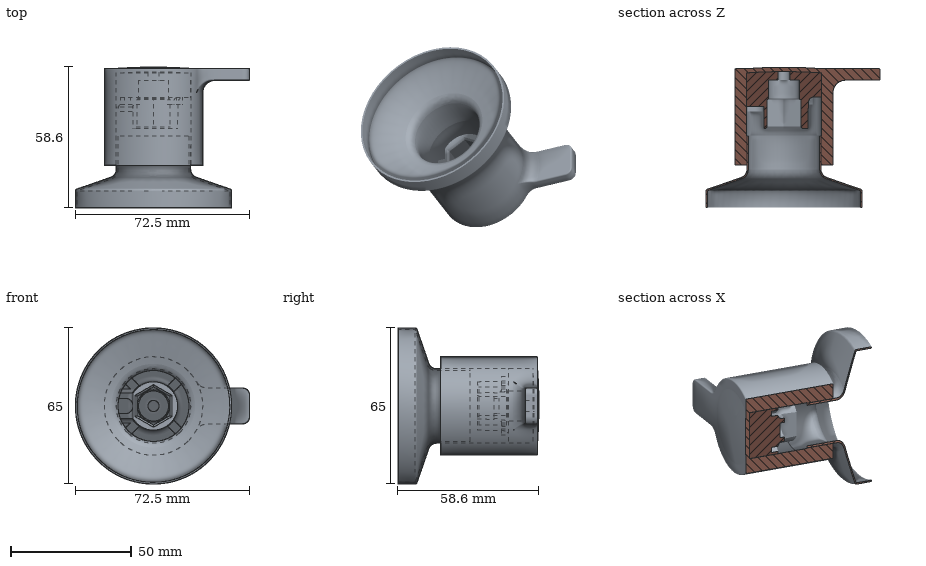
import cadquery as cq
import math


rim_radius = 32.5
neck_radius = 15.5
sheet = 0.75
cone_angle = 19.1
cone_start = 7.67
rim_round = 1.0
neck_round = 3.2
neck_end = 30.0

knob_radius = 20.5
knob_start = 17.7
knob_end = 58.0
crown_height = 0.6
crown_edge = 16.0
crown_wall = 2.0
edge_round = 0.5
lever_reach = 40.0
lever_width = 15.0
lever_thickness = 5.0
lever_corner = 3.0
lever_blend = 5.0

floor_level = 46.0
hub_front = 33.0
rib_front = 43.0
block_front = 40.0
hub_radius = 10.05
hub_root_radius = 10.3
hub_blend = 2.0
rib_width = 3.6
rib_angles = (45, 135, 225, 315)
block_width = 10.6
block_blend = 1.75
hub_flat = 8.5
block_overlap = 2.0
slot_width = 6.4
slot_depth = 2.0
hex_flats = 13.8
hex_chamfer = 0.75
hex_depth = 12.0
bore_radius = 6.25
bore_chamfer = 0.5
bore_depth = 8.0
through_radius = 2.3

near = 0.01

crown_radius = (crown_edge**2 + crown_height**2) / (2 * crown_height)
lever_underside = knob_end - lever_thickness
crown_top = knob_end + crown_height
crown_center = crown_top - crown_radius


def across_axis(y):
    """Workplane square to the Y axis at y, with local x = X, local y = Z, extruding towards -Y."""
    return cq.Workplane("XZ", origin=(0, y, 0))


def disc(radius, start, end):
    return across_axis(end).circle(radius).extrude(end - start)


def turned(profile):
    """Turn a profile, whose plane holds radius and y, about the Y axis."""
    return profile.close().revolve(360, (0, 0, 0), (0, 1, 0))


def profile_plane():
    """Plane with local x = Z (the radius) and local y = Y."""
    return cq.Workplane(cq.Plane(origin=(0, 0, 0), xDir=(0, 0, 1), normal=(-1, 0, 0)))


def round_circle(body, y, radius):
    """Fillet the circular edge that is centred on the Y axis at y."""
    circle = cq.selectors.BoxSelector((-near, y - near, -near), (near, y + near, near))
    return body.edges(circle).fillet(radius)


def trumpet(inset):
    """Solid trumpet whose surface lies the given distance inside the rosette's outer surface."""
    slope = math.tan(math.radians(cone_angle))
    drop = inset / math.cos(math.radians(cone_angle))
    rim = rim_radius - inset
    neck = neck_radius - inset
    rim_corner = cone_start + slope * inset - drop
    neck_corner = rim_corner + slope * (rim - neck)
    body = turned(
        profile_plane()
        .lineTo(rim, 0)
        .lineTo(rim, rim_corner)
        .lineTo(neck, neck_corner)
        .lineTo(neck, neck_end)
        .lineTo(0, neck_end)
    )
    body = round_circle(body, neck_corner, neck_round + inset)
    return round_circle(body, rim_corner, rim_round - inset)


def make_rosette():
    """Sheet of even thickness between two trumpets."""
    return trumpet(0).cut(trumpet(sheet))


def below_crown(radius, start, depth):
    """Cylinder from start to a sphere the given depth inside the crown."""
    sphere = crown_radius - depth
    edge = crown_center + math.sqrt(sphere**2 - radius**2)
    middle = crown_center + math.sqrt(sphere**2 - (radius / 2) ** 2)
    return turned(
        profile_plane()
        .moveTo(0, start)
        .lineTo(radius, start)
        .lineTo(radius, edge)
        .threePointArc((radius / 2, middle), (0, crown_center + sphere))
    )


def make_lever():
    """Lever with concave blends on its sides and underside where it meets the knob."""
    half_width = lever_width / 2
    blend_z = half_width + lever_blend
    blend_x = math.sqrt((knob_radius + lever_blend) ** 2 - blend_z**2)
    touch = knob_radius / (knob_radius + lever_blend)
    touch_x = blend_x * touch
    touch_z = blend_z * touch
    to_knob = math.atan2(blend_z, blend_x) + math.pi
    to_side = 1.5 * math.pi
    halfway = (to_knob + to_side) / 2
    mid_x = blend_x + lever_blend * math.cos(halfway)
    mid_z = blend_z + lever_blend * math.sin(halfway)
    plan = (
        across_axis(knob_end)
        .lineTo(touch_x, touch_z)
        .threePointArc((mid_x, mid_z), (blend_x, half_width))
        .lineTo(lever_reach, half_width)
        .lineTo(lever_reach, -half_width)
        .lineTo(blend_x, -half_width)
        .threePointArc((mid_x, -mid_z), (touch_x, -touch_z))
        .close()
        .extrude(lever_thickness + lever_blend)
    )
    plan = plan.edges("|Y and >X").fillet(lever_corner)
    space = turned(
        profile_plane()
        .moveTo(knob_radius, lever_underside - lever_blend)
        .radiusArc((knob_radius + lever_blend, lever_underside), lever_blend)
        .lineTo(2 * lever_reach, lever_underside)
        .lineTo(2 * lever_reach, lever_underside - lever_blend)
    )
    return plan.cut(space)


def make_knob():
    """Knob with its lever and crown, bored to fit the rosette's neck and the insert."""
    body = disc(knob_radius, knob_start, knob_end).union(make_lever())
    body = body.faces(">Y").edges().fillet(edge_round)
    lever_tip = cq.selectors.BoxSelector(
        (knob_radius + lever_blend, lever_underside - near, -lever_width),
        (lever_reach + near, lever_underside + near, lever_width),
    )
    body = body.edges(lever_tip).fillet(edge_round)
    crown = below_crown(crown_edge, knob_end - edge_round, 0)
    cavity = below_crown(neck_radius, knob_start, crown_wall)
    return body.union(crown).cut(cavity)


def make_hub():
    """Hub that widens towards the floor and blends into it, with one flat side."""
    blend_end = hub_root_radius + hub_blend
    hub = turned(
        profile_plane()
        .moveTo(0, hub_front)
        .lineTo(hub_radius, hub_front)
        .lineTo(hub_root_radius, floor_level - hub_blend)
        .radiusArc((blend_end, floor_level), hub_blend)
        .lineTo(0, floor_level)
    )
    beside_flat = (
        across_axis(block_front)
        .center(-hub_flat - hub_radius, 0)
        .rect(2 * hub_radius, 4 * hub_radius)
        .extrude(block_front - hub_front)
    )
    return hub.cut(beside_flat)


def make_block():
    """Key block running from the hub to the wall, its sides blending down to the ribs' level."""
    half_width = block_width / 2
    foot = half_width + block_blend
    return (
        cq.Workplane("YZ", origin=(-neck_radius, 0, 0))
        .moveTo(floor_level, foot)
        .lineTo(rib_front, foot)
        .radiusArc((rib_front - block_blend, half_width), block_blend)
        .lineTo(block_front, half_width)
        .lineTo(block_front, -half_width)
        .lineTo(rib_front - block_blend, -half_width)
        .radiusArc((rib_front, -foot), block_blend)
        .lineTo(floor_level, -foot)
        .close()
        .extrude(neck_radius - hub_flat + block_overlap)
    )


def make_socket():
    """Chamfered hexagon, chamfered round bore below it and a through hole."""
    hex_bottom = hub_front + hex_depth
    corners = 1 / math.cos(math.radians(30))

    def hexagon(y):
        return across_axis(y).transformed(rotate=(0, 0, 30)).polygon(6, hex_flats * corners)

    socket = hexagon(hex_bottom).extrude(hex_depth)
    flare = (
        hexagon(hub_front + hex_chamfer)
        .workplane(offset=hex_chamfer)
        .polygon(6, (hex_flats + 2 * hex_chamfer) * corners)
        .loft(ruled=True)
    )
    bore = turned(
        profile_plane()
        .moveTo(0, hex_bottom)
        .lineTo(bore_radius + bore_chamfer, hex_bottom)
        .lineTo(bore_radius, hex_bottom + bore_chamfer)
        .lineTo(bore_radius, hex_bottom + bore_depth)
        .lineTo(0, hex_bottom + bore_depth)
    )
    return socket.union(flare).union(bore).union(disc(through_radius, hex_bottom, crown_top))


def make_insert():
    """Insert that fills the end of the knob's cavity behind the rosette's neck."""
    body = below_crown(neck_radius, floor_level, crown_wall).union(make_hub())
    for angle in rib_angles:
        rib = (
            across_axis(floor_level)
            .transformed(rotate=(0, 0, angle))
            .center(neck_radius / 2, 0)
            .rect(neck_radius, rib_width)
            .extrude(floor_level - rib_front)
        )
        body = body.union(rib.intersect(disc(neck_radius, rib_front, floor_level)))
    block = make_block().intersect(disc(neck_radius, block_front, floor_level))
    slot_length = 2 * (neck_radius - hub_flat)
    slot = (
        across_axis(block_front + slot_depth)
        .center(-neck_radius, 0)
        .slot2D(slot_length, slot_width)
        .extrude(slot_depth)
    )
    return body.union(block).cut(slot).cut(make_socket())


rosette = make_rosette().solids()
knob = make_knob().solids()
insert = make_insert().solids()
result = cq.Compound.makeCompound([rosette.val(), knob.val(), insert.val()])